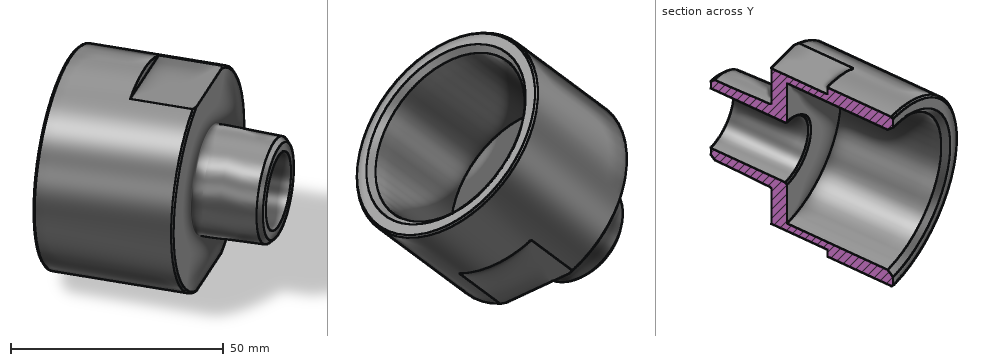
import cadquery as cq
import math

total_length = 52.0
body_diameter = 54.5
body_length = 34.75
neck_diameter = 26.75

edge_chamfer = 0.5
neck_root_fillet = 0.4

neck_collar_length = 2.7
taper_on_diameter = 1 / 16
neck_end_chamfer = 1.2

socket_diameter = 44.85
socket_mouth_diameter = 47.9
socket_mouth_angle = 45.0
socket_depth = 30.2
hole_diameter = 19.0

flat_start = 18.75
flat_spacing = 50.05


def revolve_about_axis(outline):
    """Turn a closed (x, radius) outline about the X axis."""
    return cq.Workplane("XY").polyline(outline).close().revolve(360, (0, 0, 0), (1, 0, 0))


def make_body():
    """Large cylinder with both rims chamfered."""
    body = cq.Workplane("YZ").circle(body_diameter / 2).extrude(body_length)
    return body.faces("<X or >X").edges().chamfer(edge_chamfer)


def make_flat_cutter(side):
    """Block that removes the body outside one flat; side is +1 for top, -1 for bottom."""
    cut_length = body_length - flat_start
    cut_height = (body_diameter - flat_spacing) / 2
    return cq.Workplane("XY").box(cut_length, body_diameter, cut_height).translate(
        (flat_start + cut_length / 2, 0, side * (flat_spacing + cut_height) / 2)
    )


def make_neck():
    """Straight collar followed by the taper, and the chamfered free end."""
    collar_radius = neck_diameter / 2
    collar_end = body_length + neck_collar_length
    chamfer_start = total_length - neck_end_chamfer
    taper_end_radius = collar_radius - (chamfer_start - collar_end) * taper_on_diameter / 2
    return revolve_about_axis([
        (socket_depth, 0),
        (socket_depth, collar_radius),
        (collar_end, collar_radius),
        (chamfer_start, taper_end_radius),
        (total_length, taper_end_radius - neck_end_chamfer),
        (total_length, 0),
    ])


def make_root_fillet():
    """Concave ring that blends the body's end face into the neck."""
    neck_radius = neck_diameter / 2
    arc_inset = neck_root_fillet * (1 - math.sqrt(0.5))
    return (
        cq.Workplane("XY")
        .moveTo(body_length, neck_radius + neck_root_fillet)
        .threePointArc(
            (body_length + arc_inset, neck_radius + arc_inset),
            (body_length + neck_root_fillet, neck_radius),
        )
        .lineTo(body_length + neck_root_fillet, 0)
        .lineTo(body_length, 0)
        .close()
        .revolve(360, (0, 0, 0), (1, 0, 0))
    )


def make_bore():
    """Countersunk socket, then the through hole with its chamfered entry."""
    socket_radius = socket_diameter / 2
    mouth_radius = socket_mouth_diameter / 2
    mouth_depth = (mouth_radius - socket_radius) / math.tan(math.radians(socket_mouth_angle))
    hole_radius = hole_diameter / 2
    return revolve_about_axis([
        (0, 0),
        (0, mouth_radius),
        (mouth_depth, socket_radius),
        (socket_depth, socket_radius),
        (socket_depth, hole_radius + edge_chamfer),
        (socket_depth + edge_chamfer, hole_radius),
        (total_length, hole_radius),
        (total_length, 0),
    ])


result = make_body()
for flat_side in (1, -1):
    result = result.cut(make_flat_cutter(flat_side))
result = result.union(make_neck()).union(make_root_fillet()).cut(make_bore())